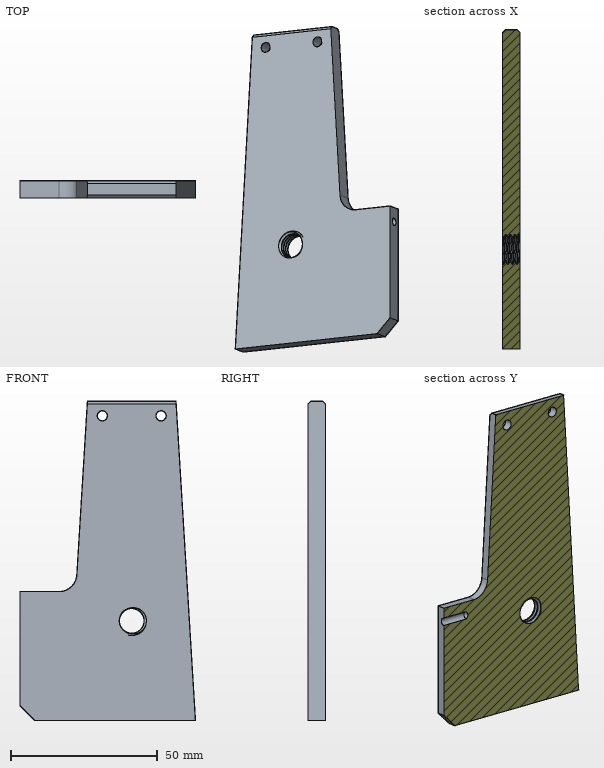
import cadquery as cq
import math

height = 109.0
width = 60.0
thickness = 6.0
top_width = 30.3
taper_center_x = 38.2
shoulder_z = 44.0
shoulder_fillet = 6.0
corner_chamfer = 5.0
top_chamfer = 1.0

top_hole_diameter = 3.4
top_hole_spacing = 20.1
top_hole_drop = 5.0

thread_x = taper_center_x
thread_z = 34.0
thread_minor_diameter = 8.4
thread_major_diameter = 10.0
thread_pitch = 1.5
thread_root_flat = thread_pitch / 8
thread_flank_angle = 30.0
thread_lead_turns = 1
thread_overlap = thread_root_flat / 2

side_hole_diameter = 2.5
side_hole_depth = 10.0
side_hole_drop = 5.0
drill_point_angle = 118.0


def make_plate():
    """Tapered plate with a shoulder on the left, front face on Y = 0."""
    top_left_x = taper_center_x - top_width / 2
    top_right_x = taper_center_x + top_width / 2
    edge_slope = (width - top_right_x) / height
    shoulder_x = top_left_x - edge_slope * (height - shoulder_z)
    plate = (
        cq.Workplane("XZ")
        .moveTo(corner_chamfer, 0)
        .lineTo(width, 0)
        .lineTo(top_right_x, height)
        .lineTo(top_left_x, height)
        .lineTo(shoulder_x, shoulder_z)
        .lineTo(0, shoulder_z)
        .lineTo(0, corner_chamfer)
        .close()
        .extrude(-thickness)
    )
    shoulder_corner = cq.selectors.NearestToPointSelector((shoulder_x, thickness / 2, shoulder_z))
    plate = plate.edges("|Y").edges(shoulder_corner).fillet(shoulder_fillet)
    return plate.faces(">Z").edges("|X").chamfer(top_chamfer)


def make_top_holes():
    offset = top_hole_spacing / 2
    return (
        cq.Workplane("XZ", origin=(taper_center_x, 0, height - top_hole_drop))
        .pushPoints([(-offset, 0), (offset, 0)])
        .circle(top_hole_diameter / 2)
        .extrude(-thickness)
    )


def make_side_hole():
    """Cylinder with a conical drill point, revolved about its own axis."""
    radius = side_hole_diameter / 2
    point_length = radius / math.tan(math.radians(drill_point_angle / 2))
    return (
        cq.Workplane("XY", origin=(0, thickness / 2, shoulder_z - side_hole_drop))
        .lineTo(0, radius)
        .lineTo(side_hole_depth, radius)
        .lineTo(side_hole_depth + point_length, 0)
        .close()
        .revolve(360, (0, 0), (1, 0))
    )


def make_thread_bore():
    return (
        cq.Workplane("XZ", origin=(thread_x, 0, thread_z))
        .circle(thread_minor_diameter / 2)
        .extrude(-thickness)
    )


def make_thread_groove():
    """Right-hand helical groove, running past both faces of the plate."""
    minor_radius = thread_minor_diameter / 2
    major_radius = thread_major_diameter / 2
    inner_radius = minor_radius - thread_overlap
    flank_run = (major_radius - inner_radius) * math.tan(math.radians(thread_flank_angle))
    root_half = thread_root_flat / 2
    mouth_half = root_half + flank_run
    length = (math.ceil(thickness / thread_pitch) + 2 * thread_lead_turns) * thread_pitch
    helix = cq.Wire.makeHelix(thread_pitch, length, minor_radius)
    groove = (
        cq.Workplane("XZ")
        .moveTo(inner_radius, -mouth_half)
        .lineTo(major_radius, -root_half)
        .lineTo(major_radius, root_half)
        .lineTo(inner_radius, mouth_half)
        .close()
        .sweep(cq.Workplane(helix), isFrenet=True)
    )
    start_y = -thread_lead_turns * thread_pitch
    return groove.rotate((0, 0, 0), (1, 0, 0), -90).translate((thread_x, start_y, thread_z))


result = (
    make_plate()
    .cut(make_thread_groove())
    .cut(make_thread_bore())
    .cut(make_top_holes())
    .cut(make_side_hole())
)